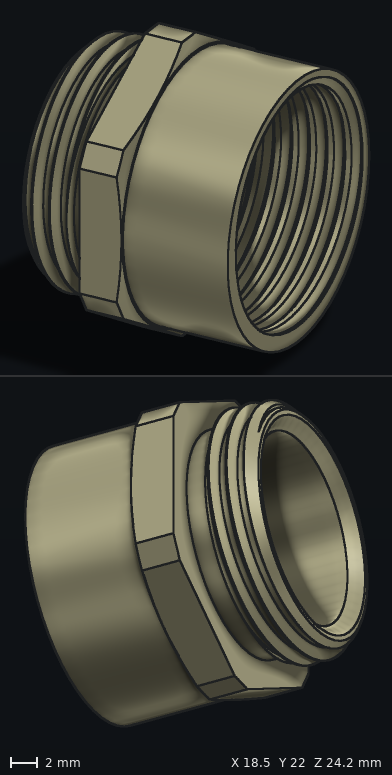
import cadquery as cq
import math

total_length = 18.5
male_thread_length = 4.33
hex_start = 6.0
hex_end = 9.59
socket_start = 9.0

neck_diameter = 17.75
barrel_diameter = 21.6
bore_diameter = 15.0
bore_mouth_diameter = 16.95

across_flats = 22.0
across_corners = 24.2
bevel_length = 0.4
bevel_end_radius = 10.95

pitch = 1.5
male_root_diameter = 18.2
male_crest_diameter = 20.0
tooth_base_width = 0.97
tooth_crest_width = 0.1
male_ridge_phase = 0.25
female_minor_diameter = 18.98
female_major_diameter = 20.34
female_groove_phase = 1.3
overlap = 0.12

end_margin = 3 * pitch


def cylinder(diameter, start, end):
    """Solid cylinder on the X axis between two stations."""
    return cq.Workplane("YZ").workplane(offset=start).circle(diameter / 2).extrude(end - start)


def revolve_profile(points):
    """Solid of revolution about X from (x, radius) points."""
    return cq.Workplane("XY").polyline(points).close().revolve(360, (0, 0), (1, 0))


def thread_body(base_radius, crest_radius, start, length):
    """Right-handed V-shaped helical body, starting on the -Z side of the X axis."""
    sunk_radius = base_radius - overlap
    flank_slope = (tooth_base_width - tooth_crest_width) / 2 / (crest_radius - base_radius)
    sunk_half_width = tooth_base_width / 2 + overlap * flank_slope
    crest_half_width = tooth_crest_width / 2
    profile = [
        (sunk_radius, -sunk_half_width),
        (crest_radius, -crest_half_width),
        (crest_radius, crest_half_width),
        (sunk_radius, sunk_half_width),
    ]
    helix = cq.Wire.makeHelix(pitch, length, base_radius)
    body = cq.Workplane("XZ").polyline(profile).close().sweep(cq.Workplane(obj=helix), isFrenet=True)
    return body.rotate((0, 0, 0), (0, 1, 0), 90).translate((start, 0, 0))


def male_end():
    """Threaded spigot, with the end chamfered at 45 degrees through the thread."""
    face_radius = neck_diameter / 2
    crest_radius = male_crest_diameter / 2
    envelope_radius = crest_radius + overlap
    root = cylinder(male_root_diameter, -end_margin, male_thread_length + end_margin)
    ridge = thread_body(male_root_diameter / 2, crest_radius, male_ridge_phase - pitch, 5 * pitch)
    envelope = revolve_profile([
        (0, 0),
        (0, face_radius),
        (envelope_radius - face_radius, envelope_radius),
        (male_thread_length, envelope_radius),
        (male_thread_length, 0),
    ])
    return root.union(ridge).intersect(envelope)


def hexagon(flats, start, end):
    """Hexagonal prism along X with flats facing +Z and -Z."""
    corner_diameter = flats / math.cos(math.pi / 6)
    return cq.Workplane("YZ").workplane(offset=start).polygon(6, corner_diameter).extrude(end - start)


def hex_collar():
    """Wrench collar: hexagon, flattened corners and a conical bevel on the barrel side."""
    flats_prism = hexagon(across_flats, hex_start, hex_end).rotate((0, 0, 0), (1, 0, 0), 30)
    corner_prism = hexagon(across_corners, hex_start, hex_end)
    corner_radius = across_corners / 2
    bevel_slope = (corner_radius - bevel_end_radius) / bevel_length
    cone_base_radius = bevel_end_radius + bevel_slope * (hex_end - hex_start)
    bevel = revolve_profile([
        (hex_start, 0),
        (hex_start, cone_base_radius),
        (hex_end, bevel_end_radius),
        (hex_end, 0),
    ])
    return flats_prism.intersect(corner_prism).intersect(bevel)


def through_bore():
    """Plain bore with a 45 degree chamfer at the male end."""
    bore_radius = bore_diameter / 2
    mouth_radius = bore_mouth_diameter / 2
    return revolve_profile([
        (0, 0),
        (0, mouth_radius),
        (mouth_radius - bore_radius, bore_radius),
        (total_length, bore_radius),
        (total_length, 0),
    ])


def female_socket():
    """Threaded socket inside the barrel."""
    minor_radius = female_minor_diameter / 2
    major_radius = female_major_diameter / 2
    groove_start = socket_start + female_groove_phase - 2 * pitch
    groove = thread_body(minor_radius, major_radius, groove_start, 9 * pitch)
    core = cylinder(female_minor_diameter, socket_start - end_margin, total_length + end_margin)
    limits = cylinder(barrel_diameter, socket_start, total_length)
    return core.union(groove).intersect(limits)


neck = cylinder(neck_diameter, 0, hex_start)
barrel = cylinder(barrel_diameter, hex_end, total_length)
result = male_end().union(neck).union(hex_collar()).union(barrel)
result = result.cut(through_bore()).cut(female_socket())